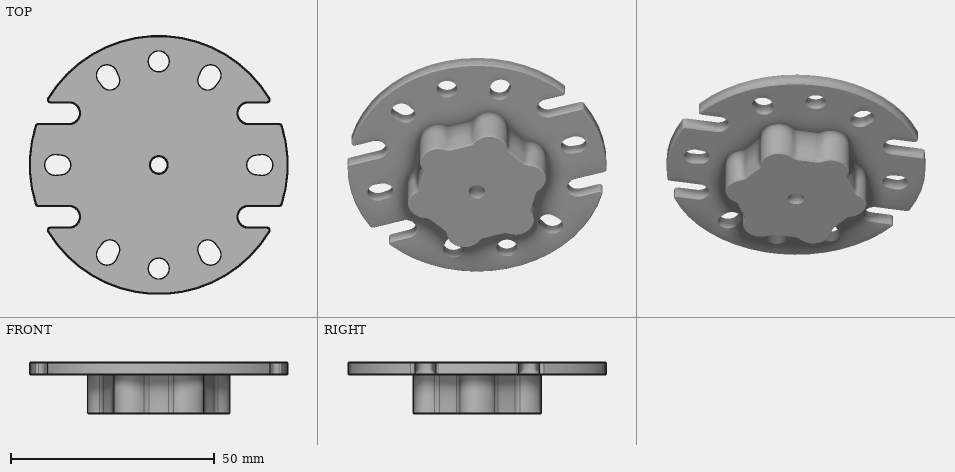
import cadquery as cq
import math

plate_diameter = 63.5
plate_thickness = 3.175
edge_chamfer = 0.254

mount_radius = 25.4
hole_diameter = 5.08
slot_inner_radius = 23.98
slot_inner_diameter = 4.76
notch_corner_radius = 0.762
center_hole_diameter = 4.064

slot_angles = (0, 60, 120, 180, 240, 300)
round_hole_angles = (90, 270)
notch_angles = (30, 150, 210, 330)

total_height = 12.7
hub_height = total_height - plate_thickness
lobe_count = 6
lobe_spacing = 360 / lobe_count
lobe_center_radius = 13.0
lobe_radius = 4.5
hex_across_flats = 28.575
lobe_blend_radius = 2.0


def polar(radius, angle):
    """Point at a distance from the axis and an angle in degrees from +X."""
    return cq.Vector(radius * math.cos(math.radians(angle)), radius * math.sin(math.radians(angle)))


def notch(angle):
    """Round-ended slot that leaves the rim parallel to X."""
    end = polar(mount_radius, angle)
    length = plate_diameter / 2
    outward = math.copysign(1, end.x)
    round_end = cq.Workplane("XY").center(end.x, end.y).circle(hole_diameter / 2).extrude(plate_thickness)
    channel = (
        cq.Workplane("XY")
        .center(end.x + outward * length / 2, end.y)
        .rect(length, hole_diameter)
        .extrude(plate_thickness)
    )
    return channel.union(round_end)


def is_notch_mouth(edge):
    """True for the upright corner edges where a notch opens through the rim."""
    position = edge.Center()
    return abs(position.x) > mount_radius and abs(position.y) > hole_diameter


def make_plate():
    """Disc with four rim notches, rounded mouth corners and chamfered edges."""
    plate = cq.Workplane("XY").circle(plate_diameter / 2).extrude(plate_thickness)
    for angle in notch_angles:
        plate = plate.cut(notch(angle))
    mouth_corners = [edge for edge in plate.edges("|Z").vals() if is_notch_mouth(edge)]
    plate = plate.newObject(mouth_corners).fillet(notch_corner_radius)
    return plate.faces("<Z or >Z").edges().chamfer(edge_chamfer)


def make_hub():
    """Hexagonal hub with corner lobes blended into the flats, chamfered below."""
    flat_distance = hex_across_flats / 2
    half_spacing = lobe_spacing / 2

    lobe_center = polar(lobe_center_radius, half_spacing)
    center_gap = lobe_radius + lobe_blend_radius
    blend_x = flat_distance + lobe_blend_radius
    blend_y = lobe_center.y - math.sqrt(center_gap ** 2 - (blend_x - lobe_center.x) ** 2)
    blend_center = cq.Vector(blend_x, blend_y)
    to_lobe = math.degrees(math.atan2(lobe_center.y - blend_y, lobe_center.x - blend_x))

    flat_end = cq.Vector(flat_distance, blend_y)
    blend_middle = blend_center + polar(lobe_blend_radius, (180 + to_lobe) / 2)
    blend_end = blend_center + polar(lobe_blend_radius, to_lobe)
    lobe_tip = polar(lobe_center_radius + lobe_radius, half_spacing)

    def placed(point, turn, side=1):
        """Point turned about the axis; side -1 mirrors it across its flat first."""
        angle = side * math.degrees(math.atan2(point.y, point.x)) + turn
        corner = polar(point.Length, angle)
        return (corner.x, corner.y)

    first_turn = half_spacing
    outline = cq.Workplane("XY").moveTo(*placed(flat_end, first_turn, -1))
    for index in range(lobe_count):
        turn = first_turn + index * lobe_spacing
        next_turn = turn + lobe_spacing
        outline = (
            outline.lineTo(*placed(flat_end, turn))
            .threePointArc(placed(blend_middle, turn), placed(blend_end, turn))
            .threePointArc(placed(lobe_tip, turn), placed(blend_end, next_turn, -1))
            .threePointArc(placed(blend_middle, next_turn, -1), placed(flat_end, next_turn, -1))
        )
    hub = outline.close().extrude(-hub_height)
    return hub.faces("<Z").edges().chamfer(edge_chamfer)


def tapered_slot():
    """Radial slot on +X: two round ends joined by straight sides tangent to both."""
    outer_end = hole_diameter / 2
    inner_end = slot_inner_diameter / 2
    taper = math.degrees(math.asin((outer_end - inner_end) / (mount_radius - slot_inner_radius)))
    outer_side = cq.Vector(mount_radius, 0) + polar(outer_end, 90 + taper)
    inner_side = cq.Vector(slot_inner_radius, 0) + polar(inner_end, 90 + taper)
    return (
        cq.Workplane("XY")
        .moveTo(outer_side.x, -outer_side.y)
        .threePointArc((mount_radius + outer_end, 0), (outer_side.x, outer_side.y))
        .lineTo(inner_side.x, inner_side.y)
        .threePointArc((slot_inner_radius - inner_end, 0), (inner_side.x, -inner_side.y))
        .close()
        .extrude(plate_thickness)
    )


def cut_mounting_holes(body):
    """Round holes and radial slots through the plate outside the hub."""
    for angle in round_hole_angles:
        center = polar(mount_radius, angle)
        hole = cq.Workplane("XY").center(center.x, center.y).circle(hole_diameter / 2)
        body = body.cut(hole.extrude(plate_thickness))
    slot = tapered_slot()
    for angle in slot_angles:
        body = body.cut(slot.rotate((0, 0, 0), (0, 0, 1), angle))
    return body


def cut_center_hole(body):
    """Central through hole with its upper rim chamfered."""
    radius = center_hole_diameter / 2
    hole = cq.Workplane("XY").workplane(offset=-hub_height).circle(radius).extrude(total_height)
    countersink = cq.Solid.makeCone(
        radius,
        radius + edge_chamfer,
        edge_chamfer,
        pnt=cq.Vector(0, 0, plate_thickness - edge_chamfer),
    )
    return body.cut(hole).cut(cq.Workplane(countersink))


result = make_plate().union(make_hub())
result = cut_mounting_holes(result)
result = cut_center_hole(result)